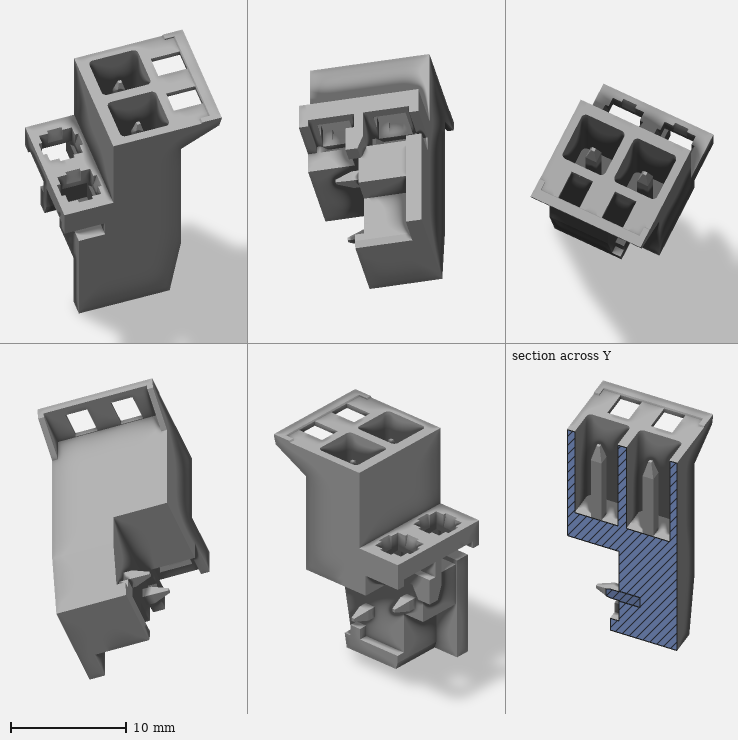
import cadquery as cq


width = 10.6
total_depth = 14.38
total_height = 21.19
pitch = 4.98
column_x = [(width - pitch) / 2, (width + pitch) / 2]

lip_height = 0.14
body_top = total_height - lip_height
body_bottom = 9.12
body_front = 4.47
body_back = 10.66
overhang_root = 18.4
overhang_nose_height = 0.95
overhang_nose_set_back = 0.23

lip_front = 12.6
lip_inner_back = 13.48
lip_arm = 0.53
lip_slope = 0.1

overhang_plate = 0.45
overhang_side_wall = lip_arm
slot_left_edges = [2.18, 6.36]
slot_width = 2.06
slot_front = 10.73
slot_back = 13.4

pocket_width = 4.11
pocket_front = 5.48
pocket_back = 9.93
pocket_radius = 0.42
pocket_floor = 12.0

shelf_top = 13.55
shelf_bottom = 11.1
shelf_back = 3.72
recess_top = 11.79
recess_width = 4.1
socket_size = 3.0
socket_y = 2.31
lead_in_width = 1.3
lead_in_reach = 0.32
lead_in_height = 1.25
bay_mouth = 3.45
bay_end = 2.32
bay_depth = 0.6

tab_left = 4.15
tab_neck_width = 0.8
tab_neck_left = (width - tab_neck_width) / 2
tab_right = tab_neck_left + tab_neck_width
tab_foot_right = 5.2
tab_shoulder = 10.3
tab_bottom = 7.88
tab_foot_back = 1.33
tab_back = 2.02

lower_left = 4.96
lower_bottom_chamfer_height = 0.65
lower_bottom_chamfer_depth = 0.2
back_slope_top = 5.96
back_slope_bottom_y = 9.62
rail_left = 4.15
rail_height = 1.37
post_front = 8.08
post_back = 9.18
post_top = 2.41

block_front = 1.47
block_bottom = 5.25
block_top = 9.2
plate_left = 9.2
plate_front = 1.32
plate_top = 9.64

pin_size = 1.03
pin_tip_size = 0.3
pin_taper = 1.47
side_pin_shank = lower_left - rail_left
pin_embedded = 2.0
top_pin_y = 7.71
top_pin_tip = 19.85
top_pin_shank = top_pin_tip - pin_taper - pocket_floor
side_pin_places = [(2.86, 6.83), (7.6, 4.13)]


def box(x0, x1, y0, y1, z0, z1):
    """Box between two corners."""
    return cq.Workplane("XY").box(x1 - x0, y1 - y0, z1 - z0, centered=False).translate((x0, y0, z0))


def side_profile(points, x0, x1):
    """Prism with a (Y, Z) outline running from x0 to x1."""
    return cq.Workplane("YZ").polyline(points).close().extrude(x1 - x0).translate((x0, 0, 0))


def make_upper_body():
    """Tall block whose top reaches back over the rear face."""
    outline = [
        (shelf_back, body_bottom),
        (shelf_back, shelf_top),
        (body_front, shelf_top),
        (body_front, body_top),
        (total_depth, body_top),
        (total_depth - overhang_nose_set_back, total_height - overhang_nose_height),
        (body_back, overhang_root),
        (body_back, body_bottom),
    ]
    return side_profile(outline, 0, width)


def make_lip_bar(front, x0, x1):
    """Low bar from a sloping front edge to the rear end of the overhang."""
    outline = [
        (front - lip_slope, body_top),
        (front, total_height),
        (total_depth, total_height),
        (total_depth, body_top),
    ]
    return side_profile(outline, x0, x1)


def make_lip():
    """U-shaped rim on the overhang."""
    lip = make_lip_bar(lip_inner_back, 0, width)
    for x in (0, width - lip_arm):
        lip = lip.union(make_lip_bar(lip_front, x, x + lip_arm))
    return lip


def make_socket_cut(x):
    """Square socket through the shelf with a sloping lead-in at the middle of each side."""
    half = socket_size / 2
    cut = box(x - half, x + half, socket_y - half, socket_y + half, shelf_bottom, shelf_top)
    ramp_outline = [
        (0, shelf_top - lead_in_height),
        (half, shelf_top - lead_in_height),
        (half + lead_in_reach, shelf_top),
        (0, shelf_top),
    ]
    ramp = side_profile(ramp_outline, -lead_in_width / 2, lead_in_width / 2)
    for quarter in range(4):
        cut = cut.union(ramp.rotate((0, 0, 0), (0, 0, 1), 90 * quarter).translate((x, socket_y, 0)))
    return cut


def make_recess_cut(x0):
    """Recess under the shelf, running back into the body as a tapering bay."""
    recess = box(x0, x0 + recess_width, 0, shelf_back, shelf_bottom, recess_top)
    bay_x = x0 + recess_width / 2
    bay = (
        cq.Workplane("XY", origin=(bay_x, 0, shelf_bottom))
        .moveTo(-bay_mouth / 2, shelf_back)
        .lineTo(bay_mouth / 2, shelf_back)
        .lineTo(bay_end / 2, shelf_back + bay_depth)
        .lineTo(-bay_end / 2, shelf_back + bay_depth)
        .close()
        .extrude(recess_top - shelf_bottom)
    )
    return recess.union(bay)


def make_tab():
    """Hook-shaped tab hanging from the shelf between the two recesses."""
    front_outline = [
        (tab_neck_left, recess_top),
        (tab_right, recess_top),
        (tab_right, block_top),
        (tab_foot_right, tab_bottom),
        (tab_left, tab_bottom),
        (tab_left, tab_shoulder),
        (tab_neck_left, tab_shoulder),
    ]
    side_outline = [
        (0, tab_bottom),
        (tab_foot_back, tab_bottom),
        (tab_back, body_bottom),
        (shelf_back, body_bottom),
        (shelf_back, recess_top),
        (0, recess_top),
    ]
    hook = cq.Workplane("XZ").polyline(front_outline).close().extrude(-shelf_back)
    return hook.intersect(side_profile(side_outline, 0, width))


def make_lower_body():
    """Lower half-width body with its front block, side plate, bottom rail and post."""
    outline = [
        (shelf_back + lower_bottom_chamfer_depth, 0),
        (shelf_back, lower_bottom_chamfer_height),
        (shelf_back, body_bottom),
        (body_back, body_bottom),
        (body_back, back_slope_top),
        (back_slope_bottom_y, 0),
    ]
    rail_zone = box(0, width, 0, total_depth, 0, rail_height)
    post_zone = box(0, width, post_front, post_back, 0, post_top)
    rail = side_profile(outline, rail_left, lower_left).intersect(rail_zone.union(post_zone))
    block = box(lower_left, plate_left, block_front, shelf_back, block_bottom, block_top)
    plate = box(plate_left, width, plate_front, shelf_back + lower_bottom_chamfer_depth, 0, plate_top)
    return side_profile(outline, lower_left, width).union(rail).union(block).union(plate)


def make_pin(exposed_shank):
    """Square pin along Z, its shoulder at the origin, with a tapered tip."""
    shank_length = exposed_shank + pin_embedded
    shank = cq.Workplane("XY").rect(pin_size, pin_size).extrude(-shank_length)
    tip = (
        cq.Workplane("XY").rect(pin_size, pin_size)
        .workplane(offset=pin_taper).rect(pin_tip_size, pin_tip_size).loft(ruled=True)
    )
    return shank.union(tip)


pins = []
for x in column_x:
    pins.append(make_pin(top_pin_shank).translate((x, top_pin_y, pocket_floor + top_pin_shank)))
for y, z in side_pin_places:
    side_pin = make_pin(side_pin_shank).rotate((0, 0, 0), (0, 1, 0), -90)
    pins.append(side_pin.translate((rail_left, y, z)))

shelf = box(0, width, 0, shelf_back, shelf_bottom, shelf_top)
housing = make_upper_body().union(make_lip()).union(shelf)
for x in column_x:
    housing = housing.cut(make_socket_cut(x))
    pocket = box(
        x - pocket_width / 2, x + pocket_width / 2, pocket_front, pocket_back,
        pocket_floor, body_top,
    )
    housing = housing.cut(pocket.edges("|Z").fillet(pocket_radius))
housing = housing.cut(
    box(
        overhang_side_wall, width - overhang_side_wall, body_back, total_depth,
        overhang_root, body_top - overhang_plate,
    )
)
for recess_left in (tab_neck_left - recess_width, tab_right):
    housing = housing.cut(make_recess_cut(recess_left))
for x in slot_left_edges:
    housing = housing.cut(box(x, x + slot_width, slot_front, slot_back, overhang_root, body_top))
housing = housing.union(make_tab()).union(make_lower_body())
for pin in pins:
    housing = housing.cut(pin)

result = cq.Compound.makeCompound([housing.val(), *[pin.val() for pin in pins]])